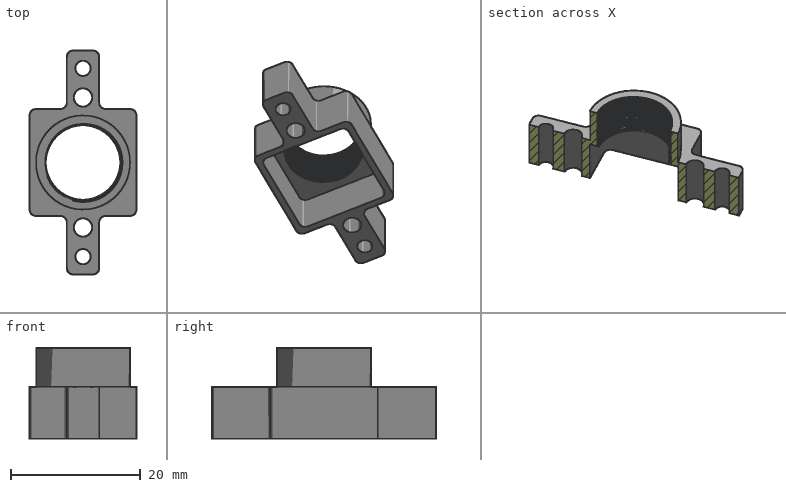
import cadquery as cq
import math

overall_length = 34.5
total_height = 14.0
block_side = 16.5
block_height = 8.0
wall = 1.0
corner_radius = 1.0
tab_width = 5.0

inner_hole_diameter = 2.8
inner_hole_offset = 10.0
outer_hole_diameter = 2.3
outer_hole_offset = 14.5

crest_diameter = 11.5
thread_depth = 0.35
thread_length = 7.0
thread_turns = 14
root_angle = 20.0
flank_steps = 8

boss_diameter = block_side - 2 * wall
pocket_side = block_side - 2 * wall
pocket_depth = total_height - thread_length
crest_radius = crest_diameter / 2
root_radius = crest_radius + thread_depth


def make_body():
    """Square block with a tab at each end, rounded on all vertical edges, and a round boss on top."""
    block = cq.Workplane("XY").rect(block_side, block_side).extrude(block_height)
    tabs = cq.Workplane("XY").rect(tab_width, overall_length).extrude(block_height)
    base = block.union(tabs).edges("|Z").fillet(corner_radius)
    boss = cq.Workplane("XY").circle(boss_diameter / 2).extrude(total_height)
    return base.union(boss)


def make_pocket():
    """Square pocket with rounded corners, open at the bottom."""
    pocket = cq.Workplane("XY").rect(pocket_side, pocket_side).extrude(pocket_depth)
    return pocket.edges("|Z").fillet(corner_radius)


def make_screw_holes():
    """Two through holes of different size in each tab."""
    holes = cq.Workplane("XY")
    for diameter, offset in (
        (inner_hole_diameter, inner_hole_offset),
        (outer_hole_diameter, outer_hole_offset),
    ):
        holes = holes.pushPoints([(0, offset), (0, -offset)]).circle(diameter / 2).extrude(block_height)
    return holes


def polar_point(angle, radius):
    """Plane point at an angle in degrees from +X."""
    return (radius * math.cos(math.radians(angle)), radius * math.sin(math.radians(angle)))


def flank_points(start_angle, end_angle, start_radius, end_radius):
    """Points after the start of a curve whose radius changes evenly with the angle."""
    shares = [step / flank_steps for step in range(1, flank_steps + 1)]
    return [
        polar_point(
            start_angle + share * (end_angle - start_angle),
            start_radius + share * (end_radius - start_radius),
        )
        for share in shares
    ]


def make_threaded_core():
    """The space inside the right-hand V thread: a near-round section that turns once per pitch."""
    crest_angle = root_angle + 180
    closing_angle = root_angle + 360
    opening_flank = flank_points(root_angle, crest_angle, root_radius, crest_radius)
    closing_flank = flank_points(crest_angle, closing_angle, crest_radius, root_radius)
    section = (
        cq.Workplane("XY")
        .workplane(offset=pocket_depth)
        .moveTo(*polar_point(root_angle, root_radius))
        .spline(opening_flank, includeCurrent=True)
        .spline(closing_flank, includeCurrent=True)
        .wire()
    )
    return section.twistExtrude(thread_length, 360 * thread_turns)


result = (
    make_body()
    .cut(make_pocket())
    .cut(make_screw_holes())
    .cut(make_threaded_core())
)